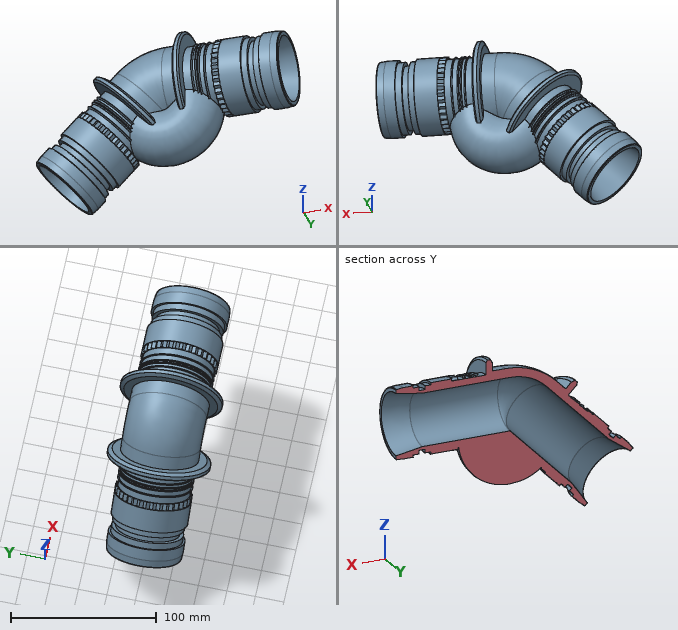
import cadquery as cq
import math

BEND_ANGLE = 45.0
HALF_BEND = BEND_ANGLE / 2
ARM_LENGTH = 95.0

PIPE_RADIUS = 27.2
ELBOW_RADIUS = 28.9

BORE_RADIUS = 19.7
BORE_BEND_RADIUS = 19.8
MOUTH_RADIUS = 23.1
MOUTH_DEPTH = 20.0

NECK_RADIUS = 25.0
BODY_RADIUS = 26.7
RING_RADIUS = 26.2
GROOVE_RADIUS = 22.4
NOSE_RADIUS = 26.2
TIP_RADIUS = 25.6

FLANGE_RADIUS = 35.9
FLANGE_START = 21.3
FLANGE_WIDTH = 5.2
INNER_CHAMFER_WIDTH = 1.6
INNER_CHAMFER_HEIGHT = 2.9
OUTER_CHAMFER_WIDTH = 1.0
OUTER_CHAMFER_HEIGHT = 1.8

RING_STARTS = (32.7, 35.5, 37.5, 41.9)
RING_WIDTH = 1.0

KNURL_START = 47.5
KNURL_WIDTH = 4.9
TOOTH_COUNT = 35
UPPER_VALLEY_ANGLE = 90.0
LOWER_VALLEY_ANGLE = 0.0

BODY_END = 68.5
GROOVE_START = 72.9
GROOVE_END = 77.2
COLLAR_START = 81.7
NOSE_START = 89.7
TIP_CHAMFER = 0.5


def tangent_length(bend_radius):
    """Distance from the corner of the axes to the start of a bend."""
    return bend_radius * math.tan(math.radians(HALF_BEND))


def revolve_about_axis(points):
    """Turn a closed (station, radius) outline about the X axis."""
    return cq.Workplane("XZ").polyline(points).close().revolve(360, (0, 0, 0), (1, 0, 0))


def bend(tube_radius, bend_radius, angle):
    """Sweep a disc around the bend centre, starting where the X arm begins.

    A positive angle turns toward the second arm and a negative one turns away from it.
    """
    start = tangent_length(bend_radius)
    axis_y = -bend_radius
    axis_end = (-1, axis_y) if angle > 0 else (1, axis_y)
    disc = cq.Workplane("YZ", origin=(start, 0, 0)).circle(tube_radius)
    return disc.revolve(abs(angle), (0, axis_y), axis_end)


def to_second_arm(shape):
    """Mirror a shape of the X arm across the plane that halves the bend."""
    tilt = math.radians(HALF_BEND)
    normal = cq.Vector(math.cos(tilt), 0, math.sin(tilt))
    return shape.mirror(normal, (0, 0, 0))


def arm_core():
    start = tangent_length(ELBOW_RADIUS)
    flange_end = FLANGE_START + FLANGE_WIDTH
    knurl_end = KNURL_START + KNURL_WIDTH
    outline = [
        (start, 0),
        (start, PIPE_RADIUS),
        (FLANGE_START, PIPE_RADIUS),
        (FLANGE_START, FLANGE_RADIUS - INNER_CHAMFER_HEIGHT),
        (FLANGE_START + INNER_CHAMFER_WIDTH, FLANGE_RADIUS),
        (flange_end - OUTER_CHAMFER_WIDTH, FLANGE_RADIUS),
        (flange_end, FLANGE_RADIUS - OUTER_CHAMFER_HEIGHT),
        (flange_end, NECK_RADIUS),
    ]
    for ring in RING_STARTS:
        outline += [(ring, NECK_RADIUS), (ring, RING_RADIUS), (ring + RING_WIDTH, NECK_RADIUS)]
    outline += [
        (knurl_end, NECK_RADIUS),
        (knurl_end, BODY_RADIUS),
        (BODY_END, BODY_RADIUS),
        (BODY_END, NECK_RADIUS),
        (GROOVE_START, NECK_RADIUS),
        (GROOVE_START, GROOVE_RADIUS),
        (GROOVE_END, GROOVE_RADIUS),
        (GROOVE_END, NECK_RADIUS),
        (COLLAR_START, NECK_RADIUS),
        (COLLAR_START, BODY_RADIUS),
        (NOSE_START, BODY_RADIUS),
        (ARM_LENGTH - TIP_CHAMFER, NOSE_RADIUS),
        (ARM_LENGTH, TIP_RADIUS),
        (ARM_LENGTH, 0),
    ]
    return revolve_about_axis(outline)


def knurl(valley_angle):
    """Band of V-shaped teeth, with a valley at the given angle from +Y toward +Z."""
    half_pitch = math.pi / TOOTH_COUNT
    outline = []
    for step in range(2 * TOOTH_COUNT):
        radius = BODY_RADIUS if step % 2 else NECK_RADIUS
        angle = math.radians(valley_angle) + step * half_pitch
        outline.append((radius * math.cos(angle), radius * math.sin(angle)))
    return cq.Workplane("YZ", origin=(KNURL_START, 0, 0)).polyline(outline).close().extrude(KNURL_WIDTH)


def arm_bore():
    outline = [
        (tangent_length(BORE_BEND_RADIUS), 0),
        (tangent_length(BORE_BEND_RADIUS), BORE_RADIUS),
        (ARM_LENGTH - MOUTH_DEPTH, BORE_RADIUS),
        (ARM_LENGTH, MOUTH_RADIUS),
        (ARM_LENGTH, 0),
    ]
    return revolve_about_axis(outline)


result = bend(PIPE_RADIUS, ELBOW_RADIUS, BEND_ANGLE)
result = result.union(arm_core().union(knurl(UPPER_VALLEY_ANGLE)))
result = result.union(to_second_arm(arm_core().union(knurl(LOWER_VALLEY_ANGLE))))
result = result.union(bend(BORE_RADIUS, BORE_BEND_RADIUS, BEND_ANGLE - 360))

result = result.cut(bend(BORE_RADIUS, BORE_BEND_RADIUS, BEND_ANGLE))
result = result.cut(arm_bore())
result = result.cut(to_second_arm(arm_bore()))